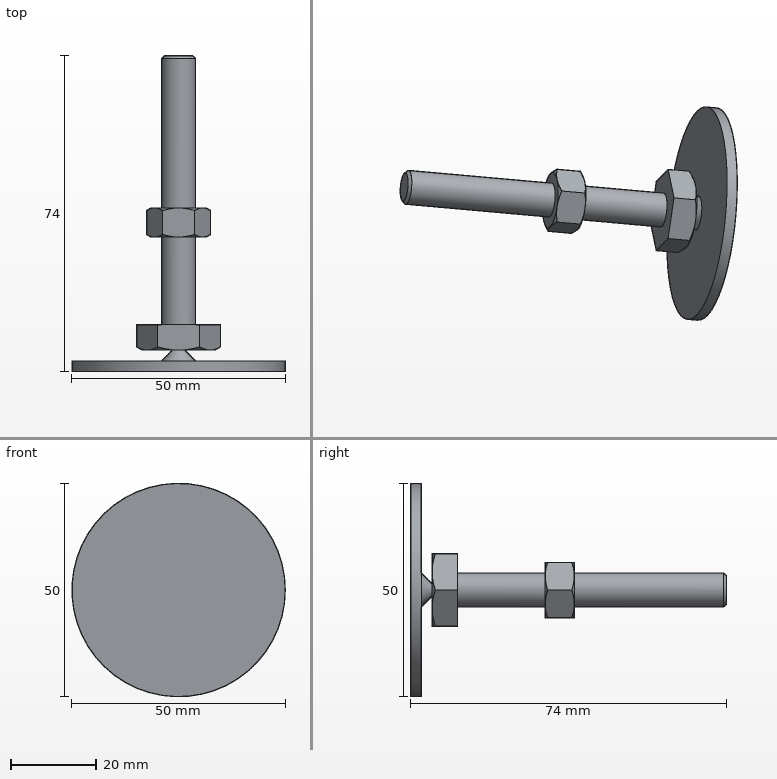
import cadquery as cq
import math

total_length = 74.0

plate_diameter = 50.0
plate_thickness = 2.5
neck_base_radius = 4.0
neck_height = 2.5
neck_tip_radius = neck_base_radius - neck_height
neck_end = plate_thickness + neck_height

stud_diameter = 8.0
tip_chamfer = 0.7
head_across_flats = 17.0
head_height = 6.0
head_start = neck_end
head_end = head_start + head_height

nut_across_flats = 13.0
nut_height = 6.8
nut_start = 31.5

hexagon_sides = 6
half_side_angle = math.pi / hexagon_sides
corner_angle = math.radians(30)


def along_y(start):
    """Workplane whose normal is +Y, at the given Y."""
    return cq.Workplane(cq.Plane(origin=(0, start, 0), xDir=(1, 0, 0), normal=(0, 1, 0)))


def hexagon(across_flats, height, start, chamfer_far_end):
    """Hexagonal prism with corners on +X and -X, coned at the near end and optionally the far end."""
    flat_radius = across_flats / 2
    corner_radius = flat_radius / math.cos(half_side_angle)
    cone_depth = (corner_radius - flat_radius) * math.tan(corner_angle)
    end = start + height

    profile = cq.Workplane("XY").moveTo(0, start).lineTo(flat_radius, start)
    profile = profile.lineTo(corner_radius, start + cone_depth)
    if chamfer_far_end:
        profile = profile.lineTo(corner_radius, end - cone_depth).lineTo(flat_radius, end)
    else:
        profile = profile.lineTo(corner_radius, end)
    envelope = profile.lineTo(0, end).close().revolve(axisStart=(0, 0, 0), axisEnd=(0, 1, 0))

    prism = along_y(start).polygon(hexagon_sides, 2 * corner_radius).extrude(height)
    return prism.intersect(envelope)


def make_plate():
    """Disc with a conical neck that carries the stud."""
    return (
        cq.Workplane("XY")
        .polyline([
            (0, 0),
            (plate_diameter / 2, 0),
            (plate_diameter / 2, plate_thickness),
            (neck_base_radius, plate_thickness),
            (neck_tip_radius, neck_end),
            (0, neck_end),
        ])
        .close()
        .revolve(axisStart=(0, 0, 0), axisEnd=(0, 1, 0))
    )


def make_stud():
    """Round stud with a hexagon head and a chamfered tip."""
    head = hexagon(head_across_flats, head_height, head_start, chamfer_far_end=False)
    shank = along_y(head_end).circle(stud_diameter / 2).extrude(total_length - head_end)
    shank = shank.faces(">Y").chamfer(tip_chamfer)
    return head.union(shank)


def make_nut():
    """Hexagon nut, coned at both ends, with a bore that fits the stud."""
    blank = hexagon(nut_across_flats, nut_height, nut_start, chamfer_far_end=True)
    bore = along_y(nut_start).circle(stud_diameter / 2).extrude(nut_height)
    return blank.cut(bore)


plate = make_plate()
stud = make_stud()
nut = make_nut()

result = cq.Compound.makeCompound([plate.val(), stud.val(), nut.val()])